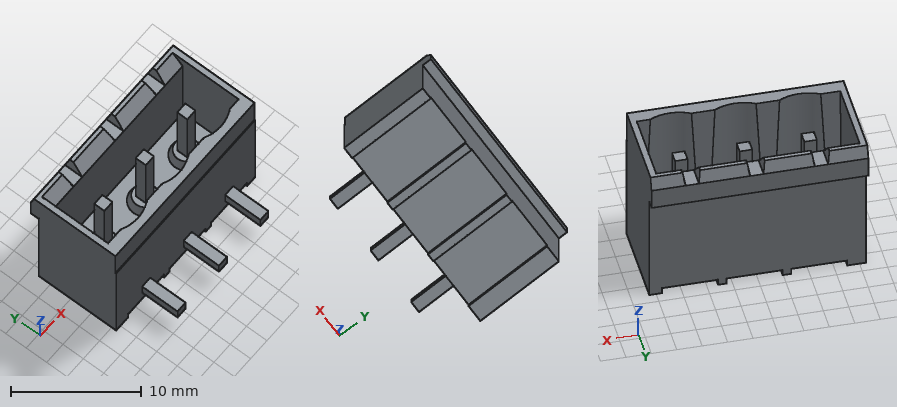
import cadquery as cq

length = 17.06
depth = 7.61
height = 12.0

rim_height = 2.73
rim_setback = 0.07
lip_rear = 8.4
lip_bevel_depth = 0.35
lip_bevel_height = 1.02
rim_bottom = height - rim_height

cavity_length = 16.0
cavity_floor = 3.41
cavity_front_top = 1.21
cavity_front_floor = 1.47
cavity_rear = 6.69
cavity_rear_top = 7.68
rear_bevel_height = 1.02
scallop_radius = 3.4

pitch = 5.08
middle_pin_x = 0.24
pin_xs = [middle_pin_x + i * pitch for i in (-1, 0, 1)]
pin_y = 4.2
pin_size = 0.99
pin_top = 10.44
tail_length = 3.46
tail_z = 2.0

collar_radius = 1.38
collar_top_radius = 1.04
collar_height = 0.85

notch_floor_width = 1.04
notch_top_width = 1.38
notch_depth = 1.02

recess_width = 4.4
recess_height = 0.5


def extrude_along_x(points, width):
    """Extrude a (Y, Z) outline symmetrically about X = 0."""
    return cq.Workplane("YZ").polyline(points).close().extrude(width / 2, both=True)


def box_between(x, y, z):
    """Box from (low, high) limits on each axis."""
    box = cq.Workplane("XY").box(x[1] - x[0], y[1] - y[0], z[1] - z[0], centered=False)
    return box.translate((x[0], y[0], z[0]))


def make_housing():
    return extrude_along_x(
        [
            (0, 0),
            (depth, 0),
            (depth, rim_bottom),
            (lip_rear, rim_bottom),
            (lip_rear, height - lip_bevel_height),
            (lip_rear - lip_bevel_depth, height),
            (rim_setback, height),
            (rim_setback, rim_bottom),
            (0, rim_bottom),
        ],
        length,
    )


def make_cavity():
    cavity = extrude_along_x(
        [
            (cavity_front_floor, cavity_floor),
            (cavity_rear, cavity_floor),
            (cavity_rear, height - rear_bevel_height),
            (cavity_rear_top, height),
            (cavity_front_top, height),
        ],
        cavity_length,
    )
    scallop_limit = box_between(
        (-cavity_length / 2, cavity_length / 2), (0, cavity_rear), (cavity_floor, height)
    )
    for x in pin_xs:
        scallop = (
            cq.Workplane("XY", origin=(x, pin_y, cavity_floor))
            .circle(scallop_radius)
            .extrude(height - cavity_floor)
        )
        cavity = cavity.union(scallop.intersect(scallop_limit))
    return cavity


def make_notch(x):
    bottom = height - notch_depth
    return (
        cq.Workplane("XZ", origin=(x, lip_rear, 0))
        .polyline(
            [
                (-notch_floor_width / 2, bottom),
                (notch_floor_width / 2, bottom),
                (notch_top_width / 2, height),
                (-notch_top_width / 2, height),
            ]
        )
        .close()
        .extrude(lip_rear - cavity_rear)
    )


def make_recess(x):
    return box_between(
        (x - recess_width / 2, x + recess_width / 2), (0, depth), (0, recess_height)
    )


def make_collar(x):
    return (
        cq.Workplane("XY", origin=(x, pin_y, cavity_floor))
        .circle(collar_radius)
        .workplane(offset=collar_height)
        .circle(collar_top_radius)
        .loft()
    )


def make_pin(x):
    half = pin_size / 2
    sides = (x - half, x + half)
    post = box_between(sides, (pin_y - half, pin_y + half), (tail_z - half, pin_top))
    tail = box_between(sides, (-tail_length, pin_y), (tail_z - half, tail_z + half))
    return post.union(tail)


result = make_housing().cut(make_cavity())
for pin_x in pin_xs:
    result = result.cut(make_notch(pin_x)).cut(make_recess(pin_x))
    result = result.union(make_collar(pin_x)).union(make_pin(pin_x))